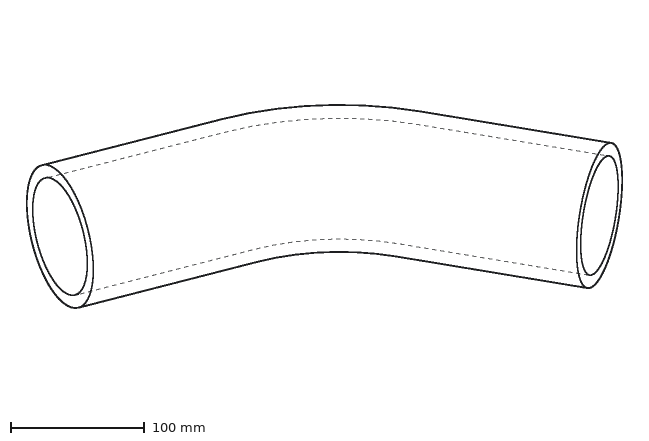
import cadquery as cq
import math

outer_diameter = 110.0
wall = 10.0
leg_length = 150.0
bend_radius = 165.5
bend_angle = 45.0

inner_diameter = outer_diameter - 2 * wall


def arc_point(angle):
    """Point on the bend centreline after turning by angle degrees from +Y toward +X."""
    turn = math.radians(angle)
    return (
        bend_radius * (1 - math.cos(turn)),
        leg_length + bend_radius * math.sin(turn),
    )


bend_end = arc_point(bend_angle)
exit_direction = math.radians(bend_angle)
pipe_end = (
    bend_end[0] + leg_length * math.sin(exit_direction),
    bend_end[1] + leg_length * math.cos(exit_direction),
)
centreline = (
    cq.Workplane("XY")
    .lineTo(0, leg_length)
    .threePointArc(arc_point(bend_angle / 2), bend_end)
    .lineTo(*pipe_end)
)

result = (
    cq.Workplane("XZ")
    .circle(outer_diameter / 2)
    .circle(inner_diameter / 2)
    .sweep(centreline)
)